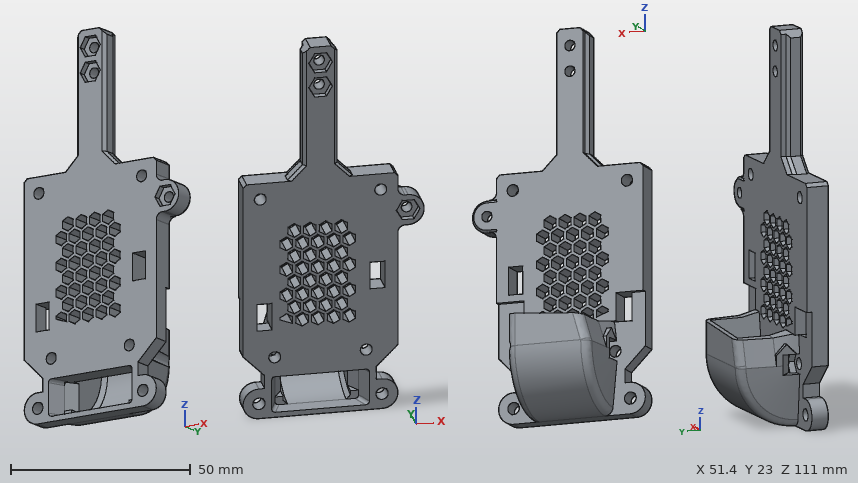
import cadquery as cq
import math

HEIGHT = 111.0
PLATE_HALF_WIDTH = 22.0
PLATE_TOP = 71.0
PLATE_DEPTH = 6.5
CORNER_CHAMFER = 1.0
SHOULDER_TOP = 19.0
NECK_HALF_WIDTH = 15.9
NECK_TOP = SHOULDER_TOP - (PLATE_HALF_WIDTH - NECK_HALF_WIDTH)

STEP_DEPTH = 5.0
STEP_TOP = 34.5
STEP_INNER_X = 13.8

EAR_HEIGHT = 9.0
EAR_RADIUS = EAR_HEIGHT / 2
EAR_X = PLATE_HALF_WIDTH - EAR_RADIUS
EAR_HOLE = 3.4
LUG_RADIUS = 4.5
LUG_X = 24.9
LUG_Z = 59.5
LUG_REAR_CHAMFER = 0.7
LUG_FILLET = 2.0
PLATE_HOLE = 3.3
UPPER_HOLE_X = 17.1
UPPER_HOLE_Z = 66.3
LOWER_HOLE_X = 13.0
LOWER_HOLE_Z = 18.2

NUT_FLATS = 5.8
NUT_CORNERS = NUT_FLATS / math.cos(math.pi / 6)
NUT_DEPTH = 2.0
NUT_SCREW_HOLE = 3.0

ARM_WIDTH = 9.9
ARM_HALF_WIDTH = ARM_WIDTH / 2
ARM_BEVEL = 1.0
ARM_TOP_CHAMFER = 2.0
ARM_SHELF_DEPTH = 5.0
GUSSET_HALF_WIDTH = 8.7
ARM_HOLES_Z = (98.8, 106.1)

SLOT_WIDTH = 4.2
SLOT_HEIGHT = 8.0
SLOTS = ((-15.9, STEP_TOP - SLOT_HEIGHT / 2), (16.2, 40.5))

CELL_FLATS = 3.5
CELL_WALL = 0.91
CELL_PITCH = CELL_FLATS + CELL_WALL
CELL_ROWS = 8
GRILLE_X = -0.8
GRILLE_TOP_ROW_Z = 56.0
CELL_ROW_STEP = CELL_PITCH * math.sqrt(3) / 2

DUCT_BEND_Y = STEP_DEPTH
DUCT_RADIUS = 18.0
DUCT_BACK = DUCT_BEND_Y + DUCT_RADIUS
DUCT_WALL = 1.5
DUCT_BASE_HALF_WIDTH = 13.8
DUCT_BACK_HALF_WIDTH = 12.1
DUCT_EDGE_FILLET = 2.4
DUCT_FLARE_Y = 11.9
DUCT_TALL = 31.1
GABLE_Y = 8.9
GABLE_TOP = 24.1
MOUTH_Z = 26.4
MOUTH_LEFT_BASE = -12.8
MOUTH_LEFT_FLARE = -10.4
MOUTH_LEFT_BACK = -9.7
MOUTH_TILT = 4.4
MOUTH_RISE = 1.1
BORE_BACK = DUCT_BACK - DUCT_WALL
BORE_HALF_WIDTH = 9.5
BORE_CHAMFER = 1.2
BORE_MOUTH_LEFT = -7.8
BORE_MOUTH_RIGHT = 10.9
INLET_HALF_WIDTH = 13.9
INLET_THROAT_HALF_WIDTH = 11.9
INLET_END_Y = 8.9
INLET_TOP = 12.3
INLET_FILLET = 1.0

RAMP_START_Y = STEP_DEPTH + NUT_DEPTH
RAMP_END_Y = 10.1
RAMP_END_OFFSET = 0.4
SLOT_REACH = 13.3

OVERLAP = 0.5


def front_plane(y=0.0):
    """Sketch plane parallel to XZ at depth y, extruding towards +Y."""
    return cq.Workplane(cq.Plane((0, y, 0), xDir=(-1, 0, 0), normal=(0, 1, 0)))


def prism(points, y0, y1):
    """Extrude an (x, z) outline from depth y0 to y1."""
    return front_plane(y0).polyline([(-x, z) for x, z in points]).close().extrude(y1 - y0)


def block(x0, x1, y0, y1, z0, z1):
    return cq.Workplane("XY").box(x1 - x0, y1 - y0, z1 - z0, centered=False).translate((x0, y0, z0))


def rod(x, z, diameter, y0, y1):
    return front_plane(y0).center(-x, z).circle(diameter / 2).extrude(y1 - y0)


def hex_rod(x, z, y0, y1, turn=0.0, corners=NUT_CORNERS):
    """Hexagonal prism along Y with a corner pointing at the angle turn."""
    angles = [math.radians(turn + 60 * i) for i in range(6)]
    r = corners / 2
    return prism([(x + r * math.cos(a), z + r * math.sin(a)) for a in angles], y0, y1)


def mirrored(points):
    """Close an outline given for +X with its mirror image."""
    return points + [(-x, z) for x, z in reversed(points)]


def plate():
    outline = mirrored([
        (NECK_HALF_WIDTH, 0),
        (NECK_HALF_WIDTH, NECK_TOP),
        (PLATE_HALF_WIDTH, SHOULDER_TOP),
        (PLATE_HALF_WIDTH, PLATE_TOP - CORNER_CHAMFER),
        (PLATE_HALF_WIDTH - CORNER_CHAMFER, PLATE_TOP),
    ])
    body = prism(outline, 0, PLATE_DEPTH)
    strip = block(STEP_INNER_X, PLATE_HALF_WIDTH, STEP_DEPTH, PLATE_DEPTH, 0, STEP_TOP)
    strip = strip.union(
        block(DUCT_BACK_HALF_WIDTH, STEP_INNER_X, STEP_DEPTH, PLATE_DEPTH, 0, STEP_TOP - SLOT_HEIGHT)
    )
    foot = block(-STEP_INNER_X, STEP_INNER_X, STEP_DEPTH, PLATE_DEPTH, 0, INLET_TOP)
    body = body.cut(strip).cut(strip.mirror("YZ")).cut(foot)
    ear_bar = block(-EAR_X, EAR_X, 0, STEP_DEPTH, 0, EAR_HEIGHT)
    body = body.union(ear_bar)
    for x in (-EAR_X, EAR_X):
        body = body.union(rod(x, EAR_RADIUS, EAR_HEIGHT, 0, STEP_DEPTH))
    return body


def lug():
    root_x = PLATE_HALF_WIDTH - OVERLAP
    neck = block(root_x, LUG_X, 0, PLATE_DEPTH, LUG_Z - LUG_RADIUS, LUG_Z + LUG_RADIUS)
    body = neck.union(rod(LUG_X, LUG_Z, 2 * LUG_RADIUS, 0, PLATE_DEPTH))
    rear_rim = cq.selectors.BoxSelector(
        (LUG_X - OVERLAP, PLATE_DEPTH - OVERLAP, 0), (HEIGHT, PLATE_DEPTH + OVERLAP, HEIGHT)
    )
    body = body.clean().edges(rear_rim).chamfer(LUG_REAR_CHAMFER)
    for side in (-1, 1):
        edge_z = LUG_Z + side * LUG_RADIUS
        outer_z = edge_z + side * LUG_FILLET
        web = block(root_x, PLATE_HALF_WIDTH + LUG_FILLET, 0, PLATE_DEPTH,
                    min(edge_z, outer_z), max(edge_z, outer_z))
        web = web.cut(rod(PLATE_HALF_WIDTH + LUG_FILLET, outer_z, 2 * LUG_FILLET, 0, PLATE_DEPTH))
        body = body.union(web)
    return body


def arm_section(half_width):
    """Section (x, y): bevelled front edges, shelf and narrower rear rail."""
    inner = half_width - ARM_BEVEL
    return mirrored([
        (inner, 0),
        (half_width, ARM_BEVEL),
        (half_width, ARM_SHELF_DEPTH - ARM_BEVEL),
        (inner, ARM_SHELF_DEPTH),
        (inner, PLATE_DEPTH),
    ])


def arm():
    bottom = PLATE_TOP - OVERLAP
    bar = cq.Workplane("XY", origin=(0, 0, bottom)).polyline(arm_section(ARM_HALF_WIDTH)).close()
    bar = bar.extrude(HEIGHT - bottom)
    top_outline = mirrored([
        (ARM_HALF_WIDTH, bottom),
        (ARM_HALF_WIDTH, HEIGHT - ARM_TOP_CHAMFER),
        (ARM_HALF_WIDTH - ARM_TOP_CHAMFER, HEIGHT),
    ])
    bar = bar.intersect(prism(top_outline, 0, PLATE_DEPTH))
    gusset_top = PLATE_TOP + GUSSET_HALF_WIDTH - ARM_HALF_WIDTH + ARM_BEVEL
    rise = gusset_top - bottom
    upper_half_width = ARM_HALF_WIDTH - ARM_BEVEL + OVERLAP
    gusset = (
        cq.Workplane("XY", origin=(0, 0, bottom))
        .polyline(arm_section(upper_half_width + rise)).close()
        .workplane(offset=rise)
        .polyline(arm_section(upper_half_width)).close()
        .loft(ruled=True)
    )
    above_plate = block(-PLATE_HALF_WIDTH, PLATE_HALF_WIDTH, 0, PLATE_DEPTH, bottom, gusset_top)
    return bar.union(gusset.intersect(above_plate))


def grille():
    corners = CELL_FLATS / math.cos(math.pi / 6)
    cells = cq.Workplane("XY")
    for row in range(CELL_ROWS):
        count = 4 + row % 2
        z = GRILLE_TOP_ROW_Z - row * CELL_ROW_STEP
        for column in range(count):
            x = GRILLE_X + (column - (count - 1) / 2) * CELL_PITCH
            cells = cells.add(hex_rod(x, z, 0, PLATE_DEPTH, 30, corners))
    first_x = GRILLE_X - 2 * CELL_PITCH
    last_z = GRILLE_TOP_ROW_Z - (CELL_ROWS - 1) * CELL_ROW_STEP
    filler = prism([
        (first_x - corners / 2, last_z + 0.4),
        (first_x + corners / 2, last_z - 1.1),
        (first_x + corners / 2, last_z - corners),
        (first_x - corners / 2, last_z - corners),
    ], 0, PLATE_DEPTH)
    return cells.combine().cut(filler)


def elbow(section):
    """Sweep a horizontal (x, y) section through the quarter turn of the duct."""
    return (
        cq.Workplane("XY", origin=(0, DUCT_BEND_Y, DUCT_RADIUS))
        .polyline([(x, y - DUCT_BEND_Y) for x, y in section]).close()
        .revolve(90, (0, 0, 0), (-1, 0, 0))
    )


def extend_to_top(low, mouth):
    """Carry the straight line from the bend to the mouth on to the full duct height."""
    return low + (mouth - low) * (DUCT_TALL - DUCT_RADIUS) / (MOUTH_Z - DUCT_RADIUS)


def lofted(low_section, top_section):
    return (
        cq.Workplane("XY", origin=(0, 0, DUCT_RADIUS)).polyline(low_section).close()
        .workplane(offset=DUCT_TALL - DUCT_RADIUS).polyline(top_section).close()
        .loft(ruled=True)
    )


def duct_shell():
    front = DUCT_BEND_Y
    base, back = DUCT_BASE_HALF_WIDTH, DUCT_BACK_HALF_WIDTH
    flare = base + (back - base) * (DUCT_FLARE_Y - front) / (DUCT_BACK - front)
    low = [(-base, front), (-flare, DUCT_FLARE_Y), (-back, DUCT_BACK), (back, DUCT_BACK), (base, front)]
    top = [
        (extend_to_top(-base, MOUTH_LEFT_BASE), front),
        (extend_to_top(-flare, MOUTH_LEFT_FLARE), DUCT_FLARE_Y),
        (extend_to_top(-back, MOUTH_LEFT_BACK), DUCT_BACK),
        (back, DUCT_BACK),
        (base, front),
    ]
    shell = elbow([low[0], low[2], low[3], low[4]]).union(lofted(low, top))
    side_edges = [
        edge for edge in shell.edges().vals()
        if edge.Center().y > DUCT_FLARE_Y + 1.1 and edge.BoundingBox().zlen > DUCT_EDGE_FILLET
    ]
    return shell.newObject(side_edges).fillet(DUCT_EDGE_FILLET)


def nut_gable():
    """Peaked boss that carries the side wall up past the left nut slot."""
    reach = GABLE_TOP - DUCT_RADIUS
    outline = [
        (GABLE_Y - reach, DUCT_RADIUS),
        (GABLE_Y, GABLE_TOP),
        (DUCT_FLARE_Y, GABLE_TOP - (DUCT_FLARE_Y - GABLE_Y)),
        (DUCT_FLARE_Y, DUCT_RADIUS),
    ]
    gable = (
        cq.Workplane("YZ", origin=(-DUCT_BASE_HALF_WIDTH, 0, 0)).polyline(outline).close()
        .extrude(DUCT_BASE_HALF_WIDTH - BORE_HALF_WIDTH)
    )
    base, back = DUCT_BASE_HALF_WIDTH, DUCT_BACK_HALF_WIDTH
    wall = (
        cq.Workplane("XY", origin=(0, 0, DUCT_RADIUS))
        .polyline([(-base, DUCT_BEND_Y), (-back, DUCT_BACK), (0, DUCT_BACK), (0, DUCT_BEND_Y)])
        .close().extrude(reach)
    )
    return gable.intersect(wall)


def duct():
    shell = duct_shell().union(nut_gable())
    rim = (
        cq.Workplane("YZ", origin=(-2 * PLATE_HALF_WIDTH, 0, 0))
        .moveTo(0, -HEIGHT)
        .lineTo(DUCT_BACK, -HEIGHT)
        .lineTo(DUCT_BACK, MOUTH_Z)
        .lineTo(DUCT_FLARE_Y, MOUTH_Z)
        .lineTo(PLATE_DEPTH, MOUTH_Z + MOUTH_RISE)
        .lineTo(0, MOUTH_Z + MOUTH_RISE)
        .close().extrude(4 * PLATE_HALF_WIDTH)
        .rotate((0, 0, MOUTH_Z), (0, 1, MOUTH_Z), -MOUTH_TILT)
    )
    return shell.intersect(rim)


def duct_bore():
    half = BORE_HALF_WIDTH
    section = mirrored([
        (half, DUCT_BEND_Y),
        (half, BORE_BACK - BORE_CHAMFER),
        (half - BORE_CHAMFER, BORE_BACK),
    ])
    lower = elbow(section).cut(block(-half, half, 0, PLATE_DEPTH, INLET_TOP, DUCT_RADIUS))
    left = extend_to_top(-half, BORE_MOUTH_LEFT)
    right = extend_to_top(half, BORE_MOUTH_RIGHT)
    upper = lofted(
        [(-half, PLATE_DEPTH), (-half, BORE_BACK), (half, BORE_BACK), (half, PLATE_DEPTH)],
        [(left, PLATE_DEPTH), (left, BORE_BACK), (right, BORE_BACK), (right, PLATE_DEPTH)],
    )
    return lower.union(upper)


def inlet():
    """Front opening that narrows sideways in two stages to the width of the bore."""
    z0 = DUCT_WALL
    mouth = mirrored([(INLET_HALF_WIDTH, 0), (INLET_THROAT_HALF_WIDTH, STEP_DEPTH)])
    funnel = cq.Workplane("XY", origin=(0, 0, z0)).polyline(mouth).close().extrude(INLET_TOP - z0)
    slanted_edges = cq.selectors.BoxSelector(
        (-PLATE_HALF_WIDTH, OVERLAP, 0), (PLATE_HALF_WIDTH, STEP_DEPTH - OVERLAP, SHOULDER_TOP)
    )
    funnel = funnel.edges(slanted_edges).edges("not |X").fillet(INLET_FILLET)
    floor_z = z0 + DUCT_EDGE_FILLET
    throat = mirrored([(INLET_THROAT_HALF_WIDTH, STEP_DEPTH), (BORE_HALF_WIDTH, INLET_END_Y)])
    throat = cq.Workplane("XY", origin=(0, 0, floor_z)).polyline(throat).close().extrude(INLET_TOP - floor_z)
    return funnel.union(throat)


def nut_access(x, angle):
    """Nut pocket that opens along the given angle, with a ramp at its deep end."""
    half = NUT_FLATS / 2
    ramp_start = RAMP_END_OFFSET - (RAMP_END_Y - RAMP_START_Y)
    side_profile = [
        (0, STEP_DEPTH),
        (SLOT_REACH, STEP_DEPTH),
        (SLOT_REACH, RAMP_END_Y),
        (RAMP_END_OFFSET, RAMP_END_Y),
        (ramp_start, RAMP_START_Y),
        (0, RAMP_START_Y),
    ]
    slot = cq.Workplane("XY", origin=(0, 0, -half)).polyline(side_profile).close().extrude(NUT_FLATS)
    slot = slot.union(hex_rod(0, 0, STEP_DEPTH, RAMP_START_Y))
    return slot.rotate((0, 0, 0), (0, 1, 0), -angle).translate((x, 0, LOWER_HOLE_Z))


body = plate().union(lug()).union(arm()).union(duct())
body = body.cut(duct_bore()).cut(inlet()).cut(grille())

for slot_x, slot_z in SLOTS:
    half_w, half_h = SLOT_WIDTH / 2, SLOT_HEIGHT / 2
    body = body.cut(block(slot_x - half_w, slot_x + half_w, 0, PLATE_DEPTH, slot_z - half_h, slot_z + half_h))

for side in (-1, 1):
    body = body.cut(rod(side * EAR_X, EAR_RADIUS, EAR_HOLE, 0, PLATE_DEPTH))
    body = body.cut(rod(side * UPPER_HOLE_X, UPPER_HOLE_Z, PLATE_HOLE, 0, PLATE_DEPTH))
    body = body.cut(rod(side * LOWER_HOLE_X, LOWER_HOLE_Z, PLATE_HOLE, 0, RAMP_START_Y))
body = body.cut(rod(LOWER_HOLE_X, LOWER_HOLE_Z, PLATE_HOLE, 0, DUCT_BACK))
body = body.cut(nut_access(-LOWER_HOLE_X, 180)).cut(nut_access(LOWER_HOLE_X, 60))

for nut_x, nut_z in [(0, z) for z in ARM_HOLES_Z] + [(LUG_X, LUG_Z)]:
    body = body.cut(rod(nut_x, nut_z, NUT_SCREW_HOLE, 0, PLATE_DEPTH))
    body = body.cut(hex_rod(nut_x, nut_z, 0, NUT_DEPTH))

result = body